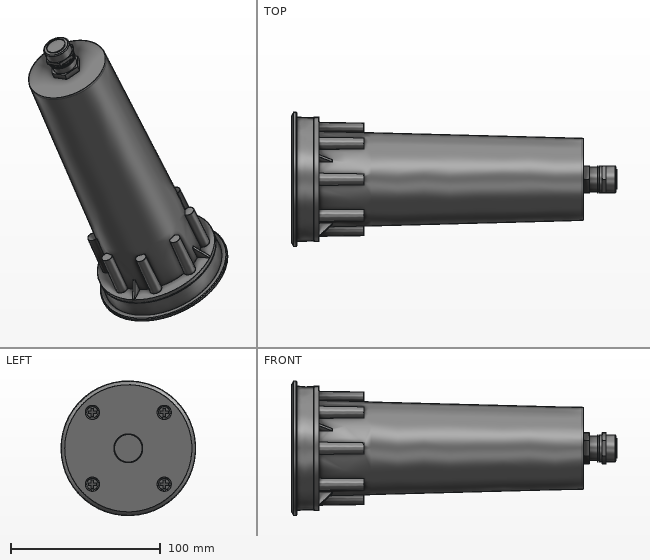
import cadquery as cq
import math


rim_radius = 45.0
face_radius = 42.5
rim_bevel_end = 1.4
rim_chamfer = 0.6
rim_end = 3.6
skirt_start_radius = 41.6
skirt_end_radius = 41.2
lid_end = 14.5

plug_diameter = 19.3
plug_depth = rim_end
plug_chamfer = 0.4

screw_pitch = 48.0
screw_circle_radius = screw_pitch / math.sqrt(2)
recess_diameter = 9.5
recess_floor_diameter = 7.6
recess_depth = 0.8
cross_length = 5.4
cross_width = 1.7
cross_depth = 1.5

groove_width = 0.6
groove_radius = 40.8
collar_start = lid_end + groove_width
collar_end = 18.2
collar_radius = 41.6
barrel_start_radius = 32.1
barrel_end_radius = 27.5
barrel_end = 195.1
barrel_end_chamfer = 1.2
barrel_end_chamfer_height = 0.3

post_count = 8
post_base_radius = 4.2
post_tip_radius = 3.7
post_end = 48.3

gusset_count = 4
gusset_first_angle = 67.5
gusset_thickness = 1.6
gusset_length = 9.2
gusset_root_radius = 31.0
gusset_top_radius = 41.4

hex_flats = 18.1
base_hex_end = 199.0
neck_radius = 8.3
neck_end = 204.3
ring_radius = 9.0
ring_end = 204.8
connector_groove_end = 205.6
coupling_hex_start = 207.5
coupling_hex_end = 210.2
coupling_end = 216.7
coupling_chamfer = 0.7
tip_radius = 6.45
connector_end = 217.3
hex_corner_radius = hex_flats / math.sqrt(3)
hex_corner_chamfer = 0.3


def turned(points):
    """Solid of revolution about X from (x, radius) points, closed along the axis."""
    outline = [(points[0][0], 0), *points, (points[-1][0], 0)]
    return cq.Workplane("XY").polyline(outline).close().revolve(360, (0, 0, 0), (1, 0, 0))


def section_at(x):
    """Sketch plane across the axis: local x is Y, local y is Z, extrusion goes along +X."""
    return cq.Workplane("YZ", origin=(x, 0, 0))


def screw_recess():
    """Countersunk recess with a cross-shaped drive in its floor, centred on the X axis."""
    recess = turned([(0, recess_diameter / 2), (recess_depth, recess_floor_diameter / 2)])
    for length, width in [(cross_length, cross_width), (cross_width, cross_length)]:
        recess = recess.union(section_at(0).rect(length, width).extrude(recess_depth + cross_depth))
    return recess


def make_lid():
    lid = turned([
        (0, face_radius),
        (rim_bevel_end, rim_radius),
        (rim_end - rim_chamfer, rim_radius),
        (rim_end, rim_radius - rim_chamfer),
        (rim_end, skirt_start_radius),
        (lid_end, skirt_end_radius),
    ])
    lid = lid.cut(section_at(0).circle(plug_diameter / 2).extrude(plug_depth))
    corner_offset = screw_pitch / 2
    for y in (-corner_offset, corner_offset):
        for z in (-corner_offset, corner_offset):
            lid = lid.cut(screw_recess().translate((0, y, z)))
    return lid


def make_plug():
    plug = section_at(0).circle(plug_diameter / 2).extrude(plug_depth)
    return plug.faces("<X").chamfer(plug_chamfer)


def post():
    """Drafted post on the +Z side, reaching from the collar along the barrel."""
    upright = turned([(collar_start, post_base_radius), (post_end, post_tip_radius)])
    return upright.translate((0, 0, screw_circle_radius))


def gusset():
    """Triangular rib on the +Z side, between the collar and the barrel."""
    return (
        cq.Workplane("XZ")
        .polyline([
            (collar_end, gusset_root_radius),
            (collar_end, gusset_top_radius),
            (collar_end + gusset_length, barrel_start_radius),
            (collar_end + gusset_length, gusset_root_radius),
        ])
        .close()
        .extrude(gusset_thickness / 2, both=True)
    )


def make_housing():
    housing = turned([
        (lid_end, groove_radius),
        (collar_start, groove_radius),
        (collar_start, collar_radius),
        (collar_end, collar_radius),
        (collar_end, barrel_start_radius),
        (barrel_end - barrel_end_chamfer, barrel_end_radius),
        (barrel_end, barrel_end_radius - barrel_end_chamfer_height),
    ])
    for i in range(post_count):
        housing = housing.union(post().rotate((0, 0, 0), (1, 0, 0), i * 360 / post_count))
    for i in range(gusset_count):
        angle = gusset_first_angle + i * 360 / gusset_count
        housing = housing.union(gusset().rotate((0, 0, 0), (1, 0, 0), angle))
    return housing


def hex_collar(start, end):
    """Hexagon across the axis with two corners on Z and its corners chamfered."""
    prism = section_at(start).polygon(6, 2 * hex_corner_radius).extrude(end - start)
    prism = prism.rotate((0, 0, 0), (1, 0, 0), 90)
    corner_trim = turned([
        (start, hex_corner_radius - hex_corner_chamfer),
        (start + hex_corner_chamfer, hex_corner_radius),
        (end - hex_corner_chamfer, hex_corner_radius),
        (end, hex_corner_radius - hex_corner_chamfer),
    ])
    return prism.intersect(corner_trim)


def make_connector():
    connector = turned([
        (barrel_end, neck_radius),
        (neck_end, neck_radius),
        (neck_end, ring_radius),
        (ring_end, ring_radius),
        (ring_end, neck_radius),
        (connector_groove_end, neck_radius),
        (connector_groove_end, ring_radius),
        (coupling_end - coupling_chamfer, ring_radius),
        (coupling_end, ring_radius - coupling_chamfer),
        (coupling_end, tip_radius),
        (connector_end, tip_radius),
    ])
    connector = connector.union(hex_collar(barrel_end, base_hex_end))
    return connector.union(hex_collar(coupling_hex_start, coupling_hex_end))


lid = make_lid()
plug = make_plug()
housing = make_housing()
connector = make_connector()

result = cq.Compound.makeCompound([lid.val(), plug.val(), housing.val(), connector.val()])